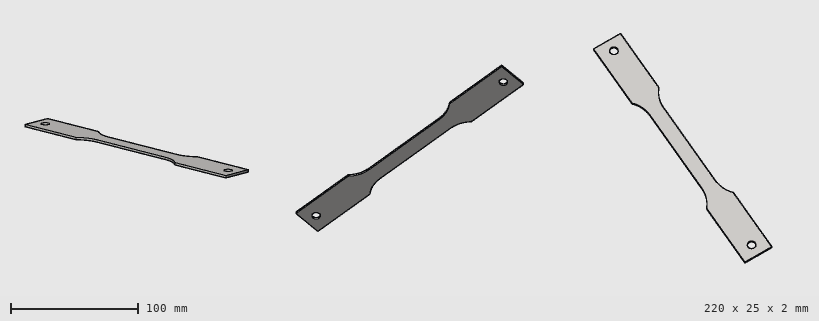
import cadquery as cq
import math

length = 220.0
grip_width = 25.0
thickness = 2.0

gauge_width = 12.5
gauge_length = 75.2
shoulder_radius = 25.0

hole_diameter = 6.5
hole_spacing = 200.2

shoulder_rise = (grip_width - gauge_width) / 2


def arc_run(rise):
    """Length along X in which a shoulder arc climbs by the given rise."""
    return math.sqrt(shoulder_radius**2 - (shoulder_radius - rise) ** 2)


half_angle = math.acos(1 - shoulder_rise / shoulder_radius) / 2
mid_rise = shoulder_radius * (1 - math.cos(half_angle))

end_x = length / 2
gauge_x = gauge_length / 2
mid_x = gauge_x + arc_run(mid_rise)
grip_x = gauge_x + arc_run(shoulder_rise)
grip_y = grip_width / 2
gauge_y = gauge_width / 2
mid_y = gauge_y + mid_rise


def specimen_blank():
    """Plate with wide grips and a narrow middle, symmetric about X and Y."""
    return (
        cq.Workplane("XY")
        .moveTo(-end_x, -grip_y)
        .lineTo(-grip_x, -grip_y)
        .threePointArc((-mid_x, -mid_y), (-gauge_x, -gauge_y))
        .lineTo(gauge_x, -gauge_y)
        .threePointArc((mid_x, -mid_y), (grip_x, -grip_y))
        .lineTo(end_x, -grip_y)
        .lineTo(end_x, grip_y)
        .lineTo(grip_x, grip_y)
        .threePointArc((mid_x, mid_y), (gauge_x, gauge_y))
        .lineTo(-gauge_x, gauge_y)
        .threePointArc((-mid_x, mid_y), (-grip_x, grip_y))
        .lineTo(-end_x, grip_y)
        .close()
        .extrude(thickness)
    )


def pin_holes():
    """Cylinders that cut one through hole in each grip."""
    return (
        cq.Workplane("XY")
        .pushPoints([(-hole_spacing / 2, 0), (hole_spacing / 2, 0)])
        .circle(hole_diameter / 2)
        .extrude(thickness)
    )


result = specimen_blank().cut(pin_holes())